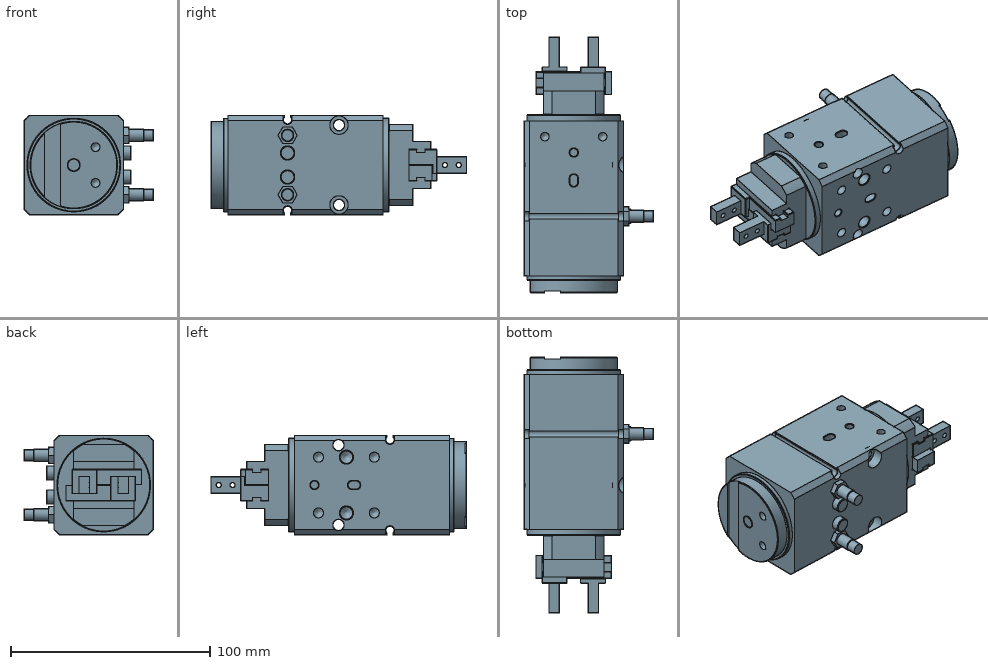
import cadquery as cq
import math


block_width = 50.0
block_length = 77.9
block_chamfer = 2.7
half_width = block_width / 2

collar_radius = 23.5
front_collar_length = 2.3
rear_collar_length = 3.1
collar_chamfer = 0.4

hub_radius = 22.0
hub_length = 6.3
hub_chamfer = 0.4
hub_end_y = -block_length - front_collar_length - hub_length
hub_slot_x_min = -14.6
hub_slot_x_max = -6.7
hub_slot_depth = 0.9
ring_groove_radius = 3.2
ring_groove_width = 0.3
ring_groove_depth = 0.3
hub_hole_diameter = 4.4
hub_hole_depth = 7.7
hub_hole_x = 10.9
hub_hole_z = 9.0

groove_y = -47.9
groove_radius = 2.0
groove_center_z = 22.7
groove_mouth = 3.0
groove_relief_radius = 2.3
groove_relief_length = 2.5

drill_point_angle = 118
mount_hole_y = -22.1
mount_hole_z = 20.0
mount_hole_diameter = 5.5
counterbore_diameter = 9.3
counterbore_depth = 5.5
side_hole_diameter = 5.0
side_hole_depth = 10.0
side_hole_z = 14.0
side_hole_ys = (-12.1, -40.1)
sleeve_hole_diameter = 6.3
sleeve_hole_depth = 10.0
sleeve_hole_y = -26.1
sleeve_hole_chamfer = 0.4
top_hole_diameter = 4.2
top_hole_depth = 7.7
top_hole_x = 14.5
top_hole_y = -8.0
dowel_diameter = 4.0
dowel_slot_length = 6.0
dowel_depth = 5.0
dowel_chamfer = 0.32
dowel_slot_y = -30.0
side_dowel_y = -10.0
top_dowel_y = -15.9

fitting_z = 14.9
hex_flats = 8.4
hex_length = 2.7
fitting_radius = 3.1
fitting_tip_radius = 2.8
fitting_tip_start = 10.2
fitting_length = 15.0
barrel_chamfer = 0.3
boss_z = 6.0
boss_radius = 3.6
boss_length = 3.9
boss_chamfer = 0.4

head_radius = 23.1
head_rim_chamfer = 0.3
head_width = 30.6
head_height = 40.9
head_step_y = 15.0
head_nose_height = 23.8
head_end_y = 24.0

rail_half_height = 8.0
rail_floor_y = 13.1
rail_end_y = 24.7
rail_outer_x = 19.0
rail_inner_x = 15.9
rail_gap = 0.4
rail_notch_y = 19.0
rail_notch_width = 4.2
rail_notch_depth = 1.7
jaw_chamfer = 0.32
base_inner_x = 3.3
base_end_y = 27.1
finger_x = 9.9
finger_width = 5.3
finger_height = 8.4
finger_end_y = 42.0
finger_hole_diameter = 2.5
finger_hole_tip_distances = (4.0, 10.9)


def box(x_range, y_range, z_range):
    """Box between the given limits."""
    corner = cq.Vector(x_range[0], y_range[0], z_range[0])
    return cq.Workplane(obj=cq.Solid.makeBox(
        x_range[1] - x_range[0], y_range[1] - y_range[0], z_range[1] - z_range[0], corner))


def cylinder(radius, length, start, direction):
    return cq.Workplane(obj=cq.Solid.makeCylinder(radius, length, cq.Vector(*start), cq.Vector(*direction)))


def drilled_hole(diameter, depth, start, direction):
    """Blind hole cutter with a conical drill point at its end."""
    radius = diameter / 2
    point_length = radius / math.tan(math.radians(drill_point_angle / 2))
    axis = cq.Vector(*direction)
    point = cq.Solid.makeCone(radius, 0, point_length, cq.Vector(*start) + axis * depth, axis)
    return cylinder(radius, depth, start, direction).union(cq.Workplane(obj=point))


def countersink(diameter, chamfer, start, direction):
    """Cone cutter that breaks the edge of a hole at 45 degrees."""
    radius = diameter / 2
    cone = cq.Solid.makeCone(radius + chamfer, radius, chamfer, cq.Vector(*start), cq.Vector(*direction))
    return cq.Workplane(obj=cone)


def make_block():
    block = box((-half_width, half_width), (-block_length, 0), (-half_width, half_width))
    return block.edges("|Y").chamfer(block_chamfer)


def make_collars():
    front = cylinder(collar_radius, front_collar_length, (0, -block_length, 0), (0, -1, 0))
    rear = cylinder(collar_radius, rear_collar_length, (0, 0, 0), (0, 1, 0))
    return front.faces("<Y").chamfer(collar_chamfer).union(rear.faces(">Y").chamfer(collar_chamfer))


def make_hub():
    hub = cylinder(hub_radius, hub_length, (0, hub_end_y, 0), (0, 1, 0)).faces("<Y").chamfer(hub_chamfer)
    slot = box((hub_slot_x_min, hub_slot_x_max), (hub_end_y, hub_end_y + hub_slot_depth),
               (-hub_radius, hub_radius))
    ring = cylinder(ring_groove_radius, ring_groove_depth, (0, hub_end_y, 0), (0, 1, 0))
    plug_radius = ring_groove_radius - ring_groove_width
    ring = ring.cut(cylinder(plug_radius, ring_groove_depth, (0, hub_end_y, 0), (0, 1, 0)))
    return hub.cut(slot).cut(ring)


def cut_hub_holes(body):
    for z in (-hub_hole_z, hub_hole_z):
        start = (hub_hole_x, hub_end_y, z)
        body = body.cut(drilled_hole(hub_hole_diameter, hub_hole_depth, start, (0, 1, 0)))
    return body


def make_sensor_groove(side):
    """Round groove along X with a narrower mouth and a wider open relief at each end.

    The side is 1 for the top of the block and -1 for the bottom.
    """
    center_z = side * groove_center_z
    mouth_z = sorted((center_z, side * half_width))
    relief_y = (groove_y - groove_relief_radius, groove_y + groove_relief_radius)
    bore = cylinder(groove_radius, block_width, (-half_width, groove_y, center_z), (1, 0, 0))
    mouth_y = (groove_y - groove_mouth / 2, groove_y + groove_mouth / 2)
    mouth = box((-half_width, half_width), mouth_y, mouth_z)
    groove = bore.union(mouth)
    for x in (-half_width, half_width - groove_relief_length):
        relief = cylinder(groove_relief_radius, groove_relief_length, (x, groove_y, center_z), (1, 0, 0))
        groove = groove.union(relief).union(box((x, x + groove_relief_length), relief_y, mouth_z))
    return groove


def cut_mount_holes(body):
    for z in (-mount_hole_z, mount_hole_z):
        through = cylinder(mount_hole_diameter / 2, block_width, (-half_width, mount_hole_y, z), (1, 0, 0))
        outer_end = (half_width, mount_hole_y, z)
        bore = cylinder(counterbore_diameter / 2, counterbore_depth, outer_end, (-1, 0, 0))
        body = body.cut(through).cut(bore)
    return body


def cut_side_holes(body):
    """Drilled holes in the -X face."""
    inward = (1, 0, 0)
    for z in (-side_hole_z, side_hole_z):
        for y in side_hole_ys:
            body = body.cut(drilled_hole(side_hole_diameter, side_hole_depth, (-half_width, y, z), inward))
        start = (-half_width, sleeve_hole_y, z)
        body = body.cut(drilled_hole(sleeve_hole_diameter, sleeve_hole_depth, start, inward))
        body = body.cut(countersink(sleeve_hole_diameter, sleeve_hole_chamfer, start, inward))
    return body


def cut_top_holes(body):
    for x in (-top_hole_x, top_hole_x):
        start = (x, top_hole_y, half_width)
        body = body.cut(drilled_hole(top_hole_diameter, top_hole_depth, start, (0, 0, -1)))
    return body


def cut_dowels(body, plane, hole_y):
    """Round dowel hole and slot along Y, both with a broken edge, cut into the face on the given plane."""
    hole = plane.center(hole_y, 0).circle(dowel_diameter / 2).extrude(-dowel_depth)
    slot = plane.center(dowel_slot_y, 0).slot2D(dowel_slot_length, dowel_diameter).extrude(-dowel_depth)
    rim = dowel_diameter + 2 * dowel_chamfer
    slot_rim = dowel_slot_length + 2 * dowel_chamfer
    hole_edge = plane.center(hole_y, 0).circle(rim / 2).extrude(-dowel_chamfer, taper=45)
    slot_edge = plane.center(dowel_slot_y, 0).slot2D(slot_rim, rim).extrude(-dowel_chamfer, taper=45)
    return body.cut(hole).cut(slot).cut(hole_edge).cut(slot_edge)


def make_fitting(z):
    plane = cq.Workplane("YZ", origin=(half_width, groove_y, z))
    hexagon = plane.polygon(6, hex_flats / math.cos(math.pi / 6)).extrude(hex_length)
    barrel = plane.circle(fitting_radius).extrude(fitting_tip_start).faces(">X").chamfer(barrel_chamfer)
    tip = plane.circle(fitting_tip_radius).extrude(fitting_length)
    return hexagon.union(barrel).union(tip)


def make_boss(z):
    boss = cylinder(boss_radius, boss_length, (half_width, groove_y, z), (1, 0, 0))
    return boss.faces(">X").chamfer(boss_chamfer)


def make_housing():
    housing = cut_hub_holes(make_block().union(make_collars()).union(make_hub()))
    for side in (-1, 1):
        housing = housing.cut(make_sensor_groove(side))
    housing = cut_top_holes(cut_side_holes(cut_mount_holes(housing)))
    side_plane = cq.Workplane(cq.Plane((-half_width, 0, 0), xDir=(0, 1, 0), normal=(-1, 0, 0)))
    top_plane = cq.Workplane(cq.Plane((0, 0, half_width), xDir=(0, 1, 0), normal=(0, 0, 1)))
    housing = cut_dowels(housing, side_plane, side_dowel_y)
    housing = cut_dowels(housing, top_plane, top_dowel_y)
    for side in (-1, 1):
        housing = housing.union(make_fitting(side * fitting_z)).union(make_boss(side * boss_z))
    return housing


def make_rail(x_range, z_range):
    """Part of the notched rail profile that lies between the given limits."""
    rail = box(x_range, (rail_floor_y, rail_end_y), z_range)
    notch_y = (rail_notch_y - rail_notch_width / 2, rail_notch_y + rail_notch_width / 2)
    for side in (-1, 1):
        notch_z = sorted((side * rail_half_height, side * (rail_half_height - rail_notch_depth)))
        rail = rail.cut(box(x_range, notch_y, notch_z))
    return rail


def make_head():
    x_range = (-head_width / 2, head_width / 2)
    flange = box(x_range, (rear_collar_length, head_step_y), (-head_height / 2, head_height / 2))
    disc = cylinder(head_radius, head_step_y - rear_collar_length, (0, rear_collar_length, 0), (0, 1, 0))
    flange = flange.intersect(disc.faces("<Y").chamfer(head_rim_chamfer))
    nose = box(x_range, (head_step_y, head_end_y), (-head_nose_height / 2, head_nose_height / 2))
    slide = make_rail(x_range, (-rail_half_height, rail_half_height))
    return flange.union(nose).cut(slide)


def make_jaw():
    """Jaw on the -X side, carried by the lower half of the rail."""
    rail = make_rail((-rail_inner_x, rail_outer_x), (-rail_half_height, -rail_gap / 2))
    base_x = (-rail_inner_x, -base_inner_x)
    foot = box(base_x, (rail_end_y, base_end_y), (-rail_half_height, -rail_gap / 2))
    base = box(base_x, (rail_end_y + rail_gap, base_end_y), (-rail_half_height, finger_height / 2))
    carrier = rail.union(foot).union(base).clean()
    carrier = carrier.faces(">Y").edges("|Z").chamfer(jaw_chamfer)
    carrier = carrier.faces("<Z").chamfer(jaw_chamfer)
    finger = box((-finger_x - finger_width / 2, -finger_x + finger_width / 2), (base_end_y, finger_end_y),
                 (-finger_height / 2, finger_height / 2))
    for distance in finger_hole_tip_distances:
        start = (-finger_x - finger_width / 2, finger_end_y - distance, 0)
        finger = finger.cut(cylinder(finger_hole_diameter / 2, finger_width, start, (1, 0, 0)))
    return carrier.union(finger)


housing = make_housing()
head = make_head()
jaws = []
for angle in (0, 180):
    jaws.append(make_jaw().rotate((0, 0, 0), (0, 1, 0), angle))

result = cq.Compound.makeCompound([housing.val(), head.val(), *[jaw.val() for jaw in jaws]])